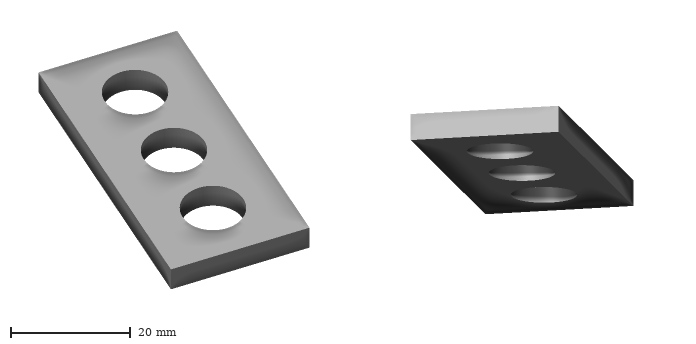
import cadquery as cq

length = 54.0
width = 25.4
thickness = 4.5

hole_diameter = 11.1
hole_pitch = 15.85
hole_count = 3

plate = cq.Workplane("XY").box(length, width, thickness)

result = (
    plate.faces(">Z")
    .workplane()
    .rarray(hole_pitch, width, hole_count, 1)
    .hole(hole_diameter)
)